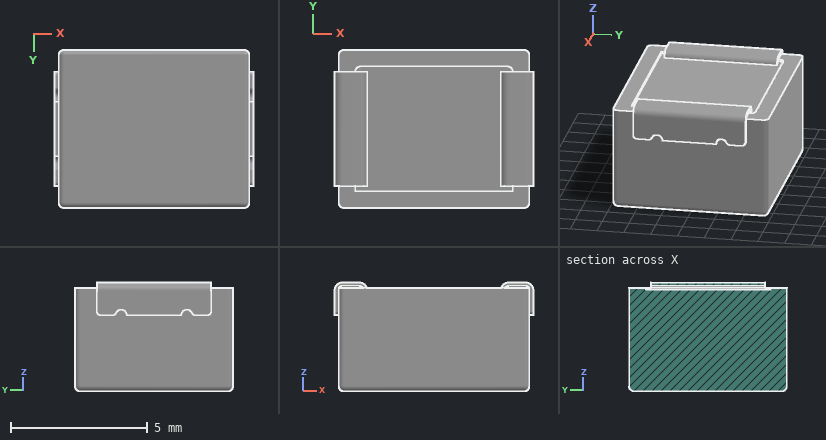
import cadquery as cq

total_length = 7.3
total_height = 4.0

body_length = 6.99
body_width = 5.8
body_height = 3.8
body_radius = 0.2

recess_length = 5.78
recess_width = 4.585
recess_depth = 0.07
recess_radius = 0.2

terminal_width = 4.2
terminal_drop = 1.205
terminal_reach = 1.205
sheet_thickness = 0.13
bend_radius = 0.3
side_thickness = (total_length - body_length) / 2
terminal_corner_radius = 0.145

notch_radius = 0.205
notch_offset = 1.205
notch_blend_radius = 0.145


def make_body():
    block = cq.Workplane("XY").box(body_length, body_width, body_height, centered=(True, True, False))
    block = block.edges("|Z or <Z").fillet(body_radius)
    recess = (
        cq.Workplane("XY")
        .workplane(offset=body_height - recess_depth)
        .rect(recess_length, recess_width)
        .extrude(recess_depth)
        .edges("|Z and >Y")
        .fillet(recess_radius)
    )
    return block.cut(recess)


def make_terminal():
    """Terminal at the -X end: side tab, top flange and a curled inner lip."""
    outer_x = -total_length / 2
    inner_x = outer_x + side_thickness
    lip_x = outer_x + terminal_reach
    bottom_z = total_height - terminal_drop
    bend_z = total_height - bend_radius
    under_z = total_height - sheet_thickness
    outer_bend_x = outer_x + bend_radius
    lip_bend_x = lip_x - bend_radius
    inner_radius = bend_radius - sheet_thickness
    diagonal = 0.5 ** 0.5

    def bend_point(center_x, direction, radius):
        return (center_x + direction * radius * diagonal, bend_z + radius * diagonal)

    terminal = (
        cq.Workplane("XZ")
        .moveTo(outer_x, bottom_z)
        .lineTo(outer_x, bend_z)
        .threePointArc(bend_point(outer_bend_x, -1, bend_radius), (outer_bend_x, total_height))
        .lineTo(lip_bend_x, total_height)
        .threePointArc(bend_point(lip_bend_x, 1, bend_radius), (lip_x, bend_z))
        .lineTo(lip_x - sheet_thickness, bend_z)
        .threePointArc(bend_point(lip_bend_x, 1, inner_radius), (lip_bend_x, under_z))
        .lineTo(outer_bend_x, under_z)
        .threePointArc(bend_point(outer_bend_x, -1, inner_radius), (inner_x, bend_z))
        .lineTo(inner_x, bottom_z)
        .close()
        .extrude(terminal_width / 2, both=True)
        .edges("|X and <Z")
        .fillet(terminal_corner_radius)
    )
    for side in (-1, 1):
        terminal = terminal.cut(make_notch(side, outer_x, bottom_z))
    return terminal


def make_notch(side, outer_x, bottom_z):
    """Half-round notch whose outer flank blends into the lower edge."""
    radius_sum = notch_radius + notch_blend_radius
    blend_y = (radius_sum ** 2 - notch_blend_radius ** 2) ** 0.5
    tangent_ratio = notch_radius / radius_sum
    tangent_point = (blend_y * tangent_ratio, notch_blend_radius * tangent_ratio)
    notch = (
        cq.Workplane("YZ")
        .moveTo(-notch_radius, 0)
        .threePointArc((0, notch_radius), tangent_point)
        .radiusArc((blend_y, 0), -notch_blend_radius)
        .close()
        .extrude(side_thickness)
    )
    if side < 0:
        notch = notch.mirror("XZ")
    return notch.translate((outer_x, side * notch_offset, bottom_z))


terminal = make_terminal()
result = make_body().union(terminal).union(terminal.mirror("YZ"))